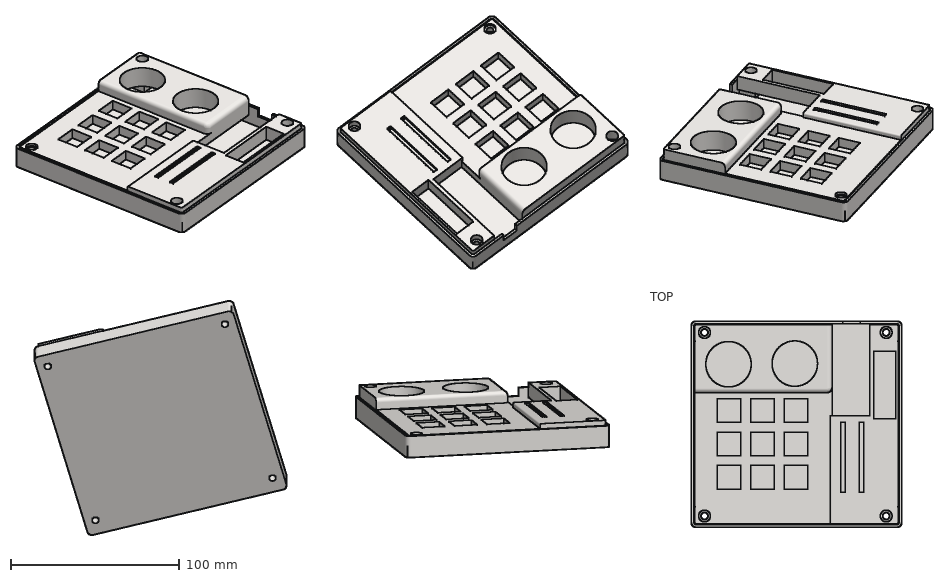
import cadquery as cq
case_length = 125.0
case_width = 122.5
case_height = 13.0
case_corner_radius = 2.9
wall = 1.6
floor = 0.8
fit_gap = 0.5

lid_length = case_length - 2 * (wall + fit_gap)
lid_width = case_width - 2 * (wall + fit_gap)
lid_corner_radius = 0.8
lid_bottom = 6.9
keypad_top = case_height
panel_top = 16.0
block_top = 19.9

block_right = 21.1
block_front = 18.8
block_front_radius = 2.5
block_side_radius = 3.1

panel_left = 20.0
panel_edge_radius = 1.0

bay_left = block_right
bay_right = 43.5
bay_front = 5.0

window_diameter = 27.0
window_centers = [(-40.4, 35.6), (-1.0, 36.0)]

key_size = 14.0
key_pitch = 19.9
key_count = 3
key_grid_center = (-20.1, -11.6)

slot_width = 2.6
slot_back = 1.2
slot_front = -40.4
slot_centers_x = [27.6, 38.5]

roof = 1.2
hollow_end_wall = 1.0
hollow_back = bay_front - hollow_end_wall
hollow_front = slot_front - (hollow_back - slot_back)

opening_left = 46.0
opening_length = 13.0
opening_front = 3.4
opening_width = 40.0

screw_diameter = 4.0
head_diameter = 7.0
head_seat = 11.4
screw_left = -54.6
screw_right = 53.2
screw_y = 54.5
screw_centers = [(x, y) for x in (screw_left, screw_right) for y in (-screw_y, screw_y)]
boss_half_size = 5.4

notch_left = 27.4
notch_right = 37.8
notch_bottom = 7.9


def box(x0, x1, y0, y1, z0, z1):
    """Box between two opposite corners."""
    return cq.Workplane("XY").box(x1 - x0, y1 - y0, z1 - z0, centered=False).translate((x0, y0, z0))


def centered_block(length, width, z0, z1):
    """Box centered on the Z axis between two heights."""
    return box(-length / 2, length / 2, -width / 2, width / 2, z0, z1)


def cylinders(centers, diameter, z0, z1):
    """Upright cylinders between two heights."""
    return cq.Workplane("XY").workplane(offset=z0).pushPoints(centers).circle(diameter / 2).extrude(z1 - z0)


def corner_boss(x, y):
    """Square boss that reaches from its screw into the corner of the case walls."""
    x_side = 1 if x > 0 else -1
    y_side = 1 if y > 0 else -1
    inner_x = x - x_side * boss_half_size
    inner_y = y - y_side * boss_half_size
    wall_x = x_side * (case_length - wall) / 2
    wall_y = y_side * (case_width - wall) / 2
    x0, x1 = sorted((inner_x, wall_x))
    y0, y1 = sorted((inner_y, wall_y))
    return box(x0, x1, y0, y1, 0, lid_bottom)


def make_case():
    """Tray with corner bosses, screw holes and a cable notch."""
    case = centered_block(case_length, case_width, 0, case_height).edges("|Z").fillet(case_corner_radius)
    cavity = centered_block(case_length - 2 * wall, case_width - 2 * wall, floor, case_height)
    case = case.cut(cavity.edges("|Z").fillet(case_corner_radius - wall))
    for x, y in screw_centers:
        case = case.union(corner_boss(x, y))
    case = case.cut(cylinders(screw_centers, screw_diameter, 0, lid_bottom))
    notch = box(notch_left, notch_right, case_width / 2 - wall, case_width / 2, notch_bottom, case_height)
    return case.cut(notch)


def make_display_block():
    """Raised block with rounded front and right edges."""
    block = box(-lid_length / 2, block_right, block_front, lid_width / 2, lid_bottom, block_top)
    block = block.edges("<Y and >Z").fillet(block_front_radius)
    return block.faces(">X").edges("not(>Y or <Z)").fillet(block_side_radius)


def make_lid_body():
    """Keypad slab with the display block and the side panel on it, before the openings."""
    half_length = lid_length / 2
    half_width = lid_width / 2
    slab = centered_block(lid_length, lid_width, lid_bottom, keypad_top)
    panel = box(panel_left, half_length, -half_width, half_width, lid_bottom, panel_top)
    panel = panel.edges("<X and >Z").fillet(panel_edge_radius)
    body = slab.union(panel)
    bay = box(bay_left, bay_right, bay_front, half_width, lid_bottom, panel_top)
    step = box(panel_left, bay_left, bay_front, half_width, keypad_top, panel_top)
    body = body.cut(bay).cut(step).union(make_display_block())
    outline = centered_block(lid_length, lid_width, lid_bottom, block_top).edges("|Z").fillet(lid_corner_radius)
    return body.intersect(outline)


def make_lid():
    """Lid with all its openings."""
    lid = make_lid_body()
    lid = lid.cut(cylinders(window_centers, window_diameter, lid_bottom, block_top))

    keys = (
        cq.Workplane("XY")
        .workplane(offset=lid_bottom)
        .center(*key_grid_center)
        .rarray(key_pitch, key_pitch, key_count, key_count)
        .rect(key_size, key_size)
        .extrude(keypad_top - lid_bottom)
    )
    lid = lid.cut(keys)

    lid = lid.cut(box(bay_left, bay_right, hollow_front, hollow_back, lid_bottom, panel_top - roof))
    for x in slot_centers_x:
        lid = lid.cut(box(x - slot_width / 2, x + slot_width / 2, slot_front, slot_back, lid_bottom, panel_top))

    lid = lid.cut(
        box(
            opening_left,
            opening_left + opening_length,
            opening_front,
            opening_front + opening_width,
            lid_bottom,
            panel_top,
        )
    )

    lid = lid.cut(cylinders(screw_centers, screw_diameter, lid_bottom, block_top))
    return lid.cut(cylinders(screw_centers, head_diameter, head_seat, block_top))


case = make_case()
lid = make_lid()
result = cq.Compound.makeCompound([case.val(), lid.val()])